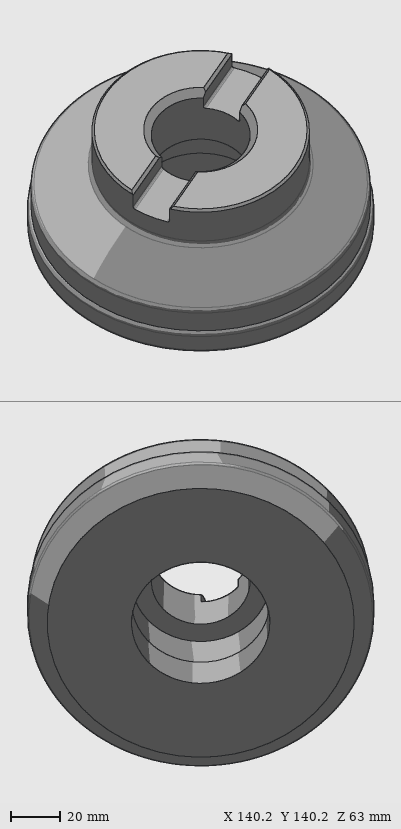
import cadquery as cq
import math

total_height = 63.0
ring_height = 17.7
shoulder_corner_height = 29.7
hub_corner_height = 42.9

body_radius = 137.4 / 2
hub_radius = 88.0 / 2
bore_radius = 40.0 / 2
shoulder_fillet = 2.2
hub_root_fillet = 2.8
hub_chamfer = 1.0
bore_chamfer = 3.1

slot_width = 16.5
slot_depth = 9.1
slot_floor_fillet = 1.0
slot_edge_chamfer = 1.3

ring_radius = 70.1
ring_base_radius = 62.1
ring_bevel_height = 6.9
ring_bottom_fillet = 1.7
ring_top_fillet = 2.1
ring_top_inset = ring_radius - body_radius
seat_radius = 56.0 / 2
seat_height = 35.0


def revolve_profile(points):
    """Revolve a closed (radius, height) outline about the Z axis."""
    return cq.Workplane("XZ").polyline(points).close().revolve(360, (0, 0, 0), (0, 1, 0))


def fillet_circle(solid, radius, height, fillet):
    """Round the circular edge of the given radius and height."""
    tolerance = 0.01
    box = cq.selectors.BoxSelector(
        (-radius - tolerance, -radius - tolerance, height - tolerance),
        (radius + tolerance, radius + tolerance, height + tolerance),
        boundingbox=True,
    )
    return solid.edges(box).edges(cq.selectors.RadiusNthSelector(-1)).fillet(fillet)


def make_slot_cutter():
    """Slot along Y with rounded floor corners and flared top edges."""
    half_width = slot_width / 2
    floor = total_height - slot_depth
    length = 2 * body_radius
    channel = (
        cq.Workplane("XY")
        .box(slot_width, length, slot_depth, centered=(True, True, False))
        .edges("|Y and <Z")
        .fillet(slot_floor_fillet)
        .translate((0, 0, floor))
    )
    flare = (
        cq.Workplane("XZ")
        .polyline([
            (-half_width, total_height - slot_edge_chamfer),
            (half_width, total_height - slot_edge_chamfer),
            (half_width + slot_edge_chamfer, total_height),
            (-half_width - slot_edge_chamfer, total_height),
        ])
        .close()
        .extrude(body_radius, both=True)
    )
    return channel.union(flare)


def make_body():
    """Conical body with a slotted, bored hub."""
    body = revolve_profile([
        (bore_radius, ring_height),
        (body_radius, ring_height),
        (body_radius, shoulder_corner_height),
        (hub_radius, hub_corner_height),
        (hub_radius, total_height - hub_chamfer),
        (hub_radius - hub_chamfer, total_height),
        (bore_radius + bore_chamfer, total_height),
        (bore_radius, total_height - bore_chamfer),
    ])
    body = fillet_circle(body, body_radius, shoulder_corner_height, shoulder_fillet)
    body = fillet_circle(body, hub_radius, hub_corner_height, hub_root_fillet)
    seat = cq.Workplane("XY").circle(seat_radius).extrude(seat_height)
    return body.cut(make_slot_cutter()).cut(seat)


def make_ring():
    """Cutting ring under the body, bevelled below and rounded above."""
    arc_angle = math.acos(1 - ring_top_inset / ring_top_fillet)
    arc_center_radius = ring_radius - ring_top_fillet
    arc_start = ring_height - ring_top_fillet * math.sin(arc_angle)
    arc_middle = (
        arc_center_radius + ring_top_fillet * math.cos(arc_angle / 2),
        arc_start + ring_top_fillet * math.sin(arc_angle / 2),
    )
    ring = (
        cq.Workplane("XZ")
        .moveTo(seat_radius, 0)
        .lineTo(ring_base_radius, 0)
        .lineTo(ring_radius, ring_bevel_height)
        .lineTo(ring_radius, arc_start)
        .threePointArc(arc_middle, (body_radius, ring_height))
        .lineTo(seat_radius, ring_height)
        .close()
        .revolve(360, (0, 0, 0), (0, 1, 0))
    )
    return fillet_circle(ring, ring_radius, ring_bevel_height, ring_bottom_fillet)


body = make_body()
ring = make_ring()
result = cq.Compound.makeCompound([body.val(), ring.val()])